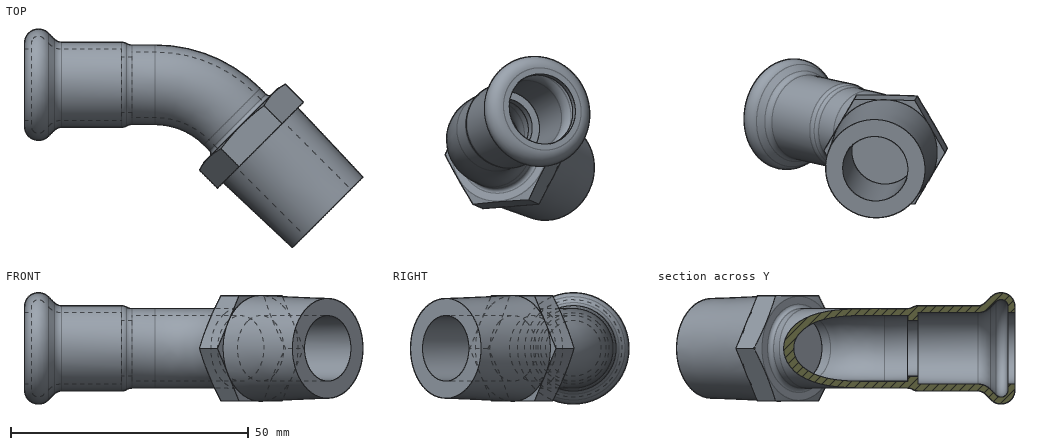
import math

import cadquery as cq

WALL = 1.5
SOCKET_RADIUS = 18.0 / 2
SOCKET_BORE_RADIUS = SOCKET_RADIUS - WALL
BEAD_RADIUS = 23.5 / 2
BEAD_ROUND = 2.95
BEAD_CONE_NORMAL = 45.0
BEAD_FILLET = 2.2
SHOULDER_START = 20.4
SHOULDER_LENGTH = 2.2
STOP_DEPTH = SHOULDER_START
STOP_LENGTH = SHOULDER_LENGTH
STOP_BORE_RADIUS = 11.7 / 2

TUBE_RADIUS = 16.8 / 2
TUBE_BORE_RADIUS = TUBE_RADIUS - WALL
BEND_START = 27.5
BEND_RADIUS = 22.9
BEND_ANGLE = 45.0

HEX_START = 2.6
HEX_LENGTH = 5.9
HEX_ACROSS_FLATS = 22.2
HEX_CHAMFER_RADIUS = 21.9 / 2
HEX_CHAMFER_ANGLE = 15.0
HEX_FILLET = 0.9
THREAD_LENGTH = 20.0
THREAD_END_RADIUS = 21.05 / 2
THREAD_TAPER = 1 / 16
THREAD_BORE_RADIUS = TUBE_BORE_RADIUS

HEX_END = HEX_START + HEX_LENGTH
THREAD_END = HEX_END + THREAD_LENGTH
BEAD_CENTRE = (BEAD_ROUND, BEAD_RADIUS - BEAD_ROUND)

bend_turn = math.radians(BEND_ANGLE)
THREAD_PLANE = cq.Plane(
    origin=(
        BEND_START + BEND_RADIUS * math.sin(bend_turn),
        -BEND_RADIUS * (1 - math.cos(bend_turn)),
        0,
    ),
    xDir=(-math.sin(bend_turn), -math.cos(bend_turn), 0),
    normal=(math.cos(bend_turn), -math.sin(bend_turn), 0),
)


def on_circle(centre, radius, degrees):
    """Point on a circle in the (axial, radial) half plane."""
    angle = math.radians(degrees)
    return (centre[0] + radius * math.cos(angle), centre[1] + radius * math.sin(angle))


def fillet_centre_behind_bead():
    """Centre of the fillet that blends the bead's cone into the socket.

    The bead wall is an even offset, so one centre serves both of its skins.
    """
    across = BEAD_ROUND + BEAD_FILLET
    radial = SOCKET_RADIUS + BEAD_FILLET - BEAD_CENTRE[1]
    normal = math.radians(BEAD_CONE_NORMAL)
    axial = (across - radial * math.sin(normal)) / math.cos(normal)
    return (BEAD_CENTRE[0] + axial, BEAD_CENTRE[1] + radial)


def add_bead_skin(profile, bead_round, fillet):
    """Continue a profile from the bead's front, over it, down its cone and through the fillet."""
    front = 180
    fillet_start = BEAD_CONE_NORMAL + 180
    fillet_end = 270
    fillet_centre = fillet_centre_behind_bead()
    return (
        profile
        .threePointArc(
            on_circle(BEAD_CENTRE, bead_round, (front + BEAD_CONE_NORMAL) / 2),
            on_circle(BEAD_CENTRE, bead_round, BEAD_CONE_NORMAL),
        )
        .lineTo(*on_circle(fillet_centre, fillet, fillet_start))
        .threePointArc(
            on_circle(fillet_centre, fillet, (fillet_start + fillet_end) / 2),
            on_circle(fillet_centre, fillet, fillet_end),
        )
    )


def revolve_about_x(profile):
    return profile.close().revolve(360, (0, 0, 0), (1, 0, 0))


def socket_body():
    """Outside of the socket with its bead, S-shaped shoulder and the straight tube."""
    profile = cq.Workplane("XY").lineTo(0, BEAD_CENTRE[1])
    profile = add_bead_skin(profile, BEAD_ROUND, BEAD_FILLET)
    shoulder_middle = (SHOULDER_START + SHOULDER_LENGTH / 2, (SOCKET_RADIUS + TUBE_RADIUS) / 2)
    profile = (
        profile
        .lineTo(SHOULDER_START, SOCKET_RADIUS)
        .tangentArcPoint(shoulder_middle, relative=False)
        .tangentArcPoint((SHOULDER_START + SHOULDER_LENGTH, TUBE_RADIUS), relative=False)
        .lineTo(BEND_START, TUBE_RADIUS)
        .lineTo(BEND_START, 0)
    )
    return revolve_about_x(profile)


def socket_cavity():
    """Socket bore with the seal groove inside the bead."""
    groove_round = BEAD_ROUND - WALL
    profile = (
        cq.Workplane("XY")
        .lineTo(0, SOCKET_BORE_RADIUS)
        .lineTo(WALL, SOCKET_BORE_RADIUS)
        .lineTo(WALL, BEAD_CENTRE[1])
    )
    profile = add_bead_skin(profile, groove_round, BEAD_FILLET + WALL)
    profile = profile.lineTo(STOP_DEPTH, SOCKET_BORE_RADIUS).lineTo(STOP_DEPTH, 0)
    return revolve_about_x(profile)


def bend(radius):
    """Round bar swept through the bend."""
    return (
        cq.Workplane("YZ", origin=(BEND_START, 0, 0))
        .circle(radius)
        .revolve(BEND_ANGLE, (-BEND_RADIUS, 1, 0), (-BEND_RADIUS, 0, 0))
    )


def socket_axis_rod(radius, start, end):
    """Round bar on the socket axis."""
    return cq.Workplane("YZ", origin=(start, 0, 0)).circle(radius).extrude(end - start)


def thread_axis_rod(radius, start, end):
    """Round bar on the thread axis."""
    return cq.Workplane(THREAD_PLANE).workplane(offset=start).circle(radius).extrude(end - start)


def hexagon():
    """Hexagon with two flats facing +Z and -Z and its bend-side corners chamfered."""
    sides = 6
    corner_radius = HEX_ACROSS_FLATS / 2 / math.cos(math.pi / sides)
    prism = (
        cq.Workplane(THREAD_PLANE)
        .workplane(offset=HEX_START)
        .polygon(sides, 2 * corner_radius)
        .extrude(HEX_LENGTH)
    )
    slope = math.tan(math.radians(HEX_CHAMFER_ANGLE))
    envelope_radius = HEX_CHAMFER_RADIUS + HEX_LENGTH / slope
    envelope = (
        cq.Workplane(THREAD_PLANE)
        .workplane(offset=HEX_START)
        .circle(HEX_CHAMFER_RADIUS)
        .workplane(offset=HEX_LENGTH)
        .circle(envelope_radius)
        .loft()
    )
    return prism.intersect(envelope)


def neck():
    """Straight tube from the bend to the hexagon, flaring through a concave fillet."""
    fillet_start = HEX_START - HEX_FILLET
    fillet_centre = (TUBE_RADIUS + HEX_FILLET, fillet_start)
    fillet_reach = HEX_FILLET * math.cos(math.radians(45))
    return (
        cq.Workplane(cq.Plane(THREAD_PLANE.origin, THREAD_PLANE.xDir, -THREAD_PLANE.yDir))
        .lineTo(TUBE_RADIUS, 0)
        .lineTo(TUBE_RADIUS, fillet_start)
        .threePointArc(
            (fillet_centre[0] - fillet_reach, fillet_centre[1] + fillet_reach),
            (fillet_centre[0], HEX_START),
        )
        .lineTo(0, HEX_START)
        .close()
        .revolve(360, (0, 0, 0), (0, 1, 0))
    )


def thread():
    """Plain taper in place of the cut thread."""
    root_radius = THREAD_END_RADIUS + THREAD_LENGTH * THREAD_TAPER / 2
    return (
        cq.Workplane(THREAD_PLANE)
        .workplane(offset=HEX_END)
        .circle(root_radius)
        .workplane(offset=THREAD_LENGTH)
        .circle(THREAD_END_RADIUS)
        .loft()
    )


def tube_bore():
    """Bore from the socket through the stop collar and the bend, closed at the hexagon."""
    stop_end = STOP_DEPTH + STOP_LENGTH
    return (
        socket_axis_rod(STOP_BORE_RADIUS, STOP_DEPTH, stop_end)
        .union(socket_axis_rod(TUBE_BORE_RADIUS, stop_end, BEND_START))
        .union(bend(TUBE_BORE_RADIUS))
        .union(thread_axis_rod(TUBE_BORE_RADIUS, 0, HEX_START))
    )


body = socket_body().union(bend(TUBE_RADIUS)).union(neck()).union(hexagon()).union(thread())

result = (
    body
    .cut(socket_cavity())
    .cut(tube_bore())
    .cut(thread_axis_rod(THREAD_BORE_RADIUS, HEX_END, THREAD_END))
)